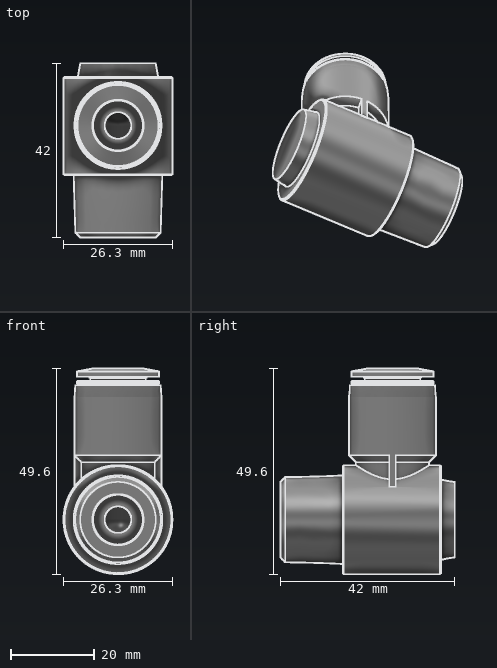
import cadquery as cq


barrel_radius = 26.3 / 2
barrel_front = -12.0
barrel_back = 11.7
barrel_chamfer = 0.3

stem_front = -27.0
stem_root_radius = 10.7
stem_tip_radius = 10.3
stem_chamfer = 1.2

cap_back = 15.0
cap_root_radius = 9.7
cap_tip_radius = 9.1

socket_radius = 21.0 / 2
socket_bottom = 15.5
socket_undercut = 1.65
socket_neck_radius = socket_radius - socket_undercut
socket_taper_start = 29.5
socket_top = 32.4
socket_top_radius = 10.3

collar_radius = 19.8 / 2
collar_bottom = 32.65
collar_top = 33.4
collar_chamfer = 0.2
collar_groove_radius = collar_radius - collar_chamfer

sleeve_neck_radius = 13.4 / 2
flange_radius = 19.8 / 2
flange_bottom = 34.4
flange_neck_chamfer = 0.35
flange_edge_top = 35.75
flange_edge_chamfer = 0.15
fitting_top = 36.4

rib_width = 1.5

tube_bore_radius = 12.0 / 2
stem_bore_radius = 11.97 / 2
bore_rim_chamfer = 0.2
passage_radius = 6.4 / 2
tube_bore_floor = socket_bottom
stem_bore_floor = barrel_front


def revolve_about_y(points):
    """Revolve a (radius, y) outline about the Y axis."""
    return cq.Workplane("XY").polyline(points).close().revolve(360, (0, 0), (0, 1))


def revolve_about_z(points):
    """Revolve a (radius, z) outline about the Z axis."""
    return cq.Workplane("XZ").polyline(points).close().revolve(360, (0, 0), (0, 1))


def make_barrel():
    """Barrel with its tapered stem and cap."""
    barrel_face_radius = barrel_radius - barrel_chamfer
    return revolve_about_y([
        (0, stem_front),
        (stem_tip_radius - stem_chamfer, stem_front),
        (stem_tip_radius, stem_front + stem_chamfer),
        (stem_root_radius, barrel_front),
        (barrel_face_radius, barrel_front),
        (barrel_radius, barrel_front + barrel_chamfer),
        (barrel_radius, barrel_back - barrel_chamfer),
        (barrel_face_radius, barrel_back),
        (cap_root_radius, barrel_back),
        (cap_tip_radius, cap_back),
        (0, cap_back),
    ])


def make_socket():
    """Undercut socket body rising from the barrel axis."""
    return revolve_about_z([
        (0, 0),
        (socket_neck_radius, 0),
        (socket_neck_radius, socket_bottom - socket_undercut),
        (socket_radius, socket_bottom),
        (socket_radius, socket_taper_start),
        (socket_top_radius, socket_top),
        (0, socket_top),
    ])


def make_collar_and_sleeve():
    """Collar ring and flanged release sleeve stacked on the socket."""
    flange_rim_radius = flange_radius - flange_edge_chamfer
    mouth_radius = tube_bore_radius + bore_rim_chamfer
    return revolve_about_z([
        (0, socket_top),
        (collar_groove_radius, socket_top),
        (collar_groove_radius, collar_bottom),
        (collar_radius, collar_bottom + collar_chamfer),
        (collar_radius, collar_top - collar_chamfer),
        (collar_radius - collar_chamfer, collar_top),
        (sleeve_neck_radius, collar_top),
        (sleeve_neck_radius, flange_bottom - flange_neck_chamfer),
        (sleeve_neck_radius + flange_neck_chamfer, flange_bottom),
        (flange_radius, flange_bottom),
        (flange_radius, flange_edge_top - flange_edge_chamfer),
        (flange_rim_radius, flange_edge_top),
        (mouth_radius, fitting_top),
        (0, fitting_top),
    ])


def make_ribs():
    """Web across both sides, rounded flush with the socket, from the barrel axis upward."""
    web = cq.Workplane("XY").rect(2 * socket_radius, rib_width).extrude(socket_bottom)
    socket_envelope = cq.Workplane("XY").circle(socket_radius).extrude(socket_bottom)
    return web.intersect(socket_envelope)


def make_tube_bore():
    """Chamfered tube bore from the top of the fitting."""
    return revolve_about_z([
        (0, tube_bore_floor),
        (tube_bore_radius, tube_bore_floor),
        (tube_bore_radius, fitting_top - bore_rim_chamfer),
        (tube_bore_radius + bore_rim_chamfer, fitting_top),
        (0, fitting_top),
    ])


def make_stem_bore():
    """Chamfered bore from the stem end."""
    return revolve_about_y([
        (0, stem_front),
        (stem_bore_radius + bore_rim_chamfer, stem_front),
        (stem_bore_radius, stem_front + bore_rim_chamfer),
        (stem_bore_radius, stem_bore_floor),
        (0, stem_bore_floor),
    ])


def make_passage():
    """Narrow elbow passage joining both bores, with a spherical corner."""
    upright = cq.Workplane("XY").circle(passage_radius).extrude(tube_bore_floor)
    level = cq.Workplane("XZ").circle(passage_radius).extrude(-stem_bore_floor)
    corner = cq.Workplane("XY").sphere(passage_radius)
    return upright.union(level).union(corner)


body = make_barrel().union(make_socket()).union(make_collar_and_sleeve()).union(make_ribs())
result = body.cut(make_tube_bore()).cut(make_stem_bore()).cut(make_passage())